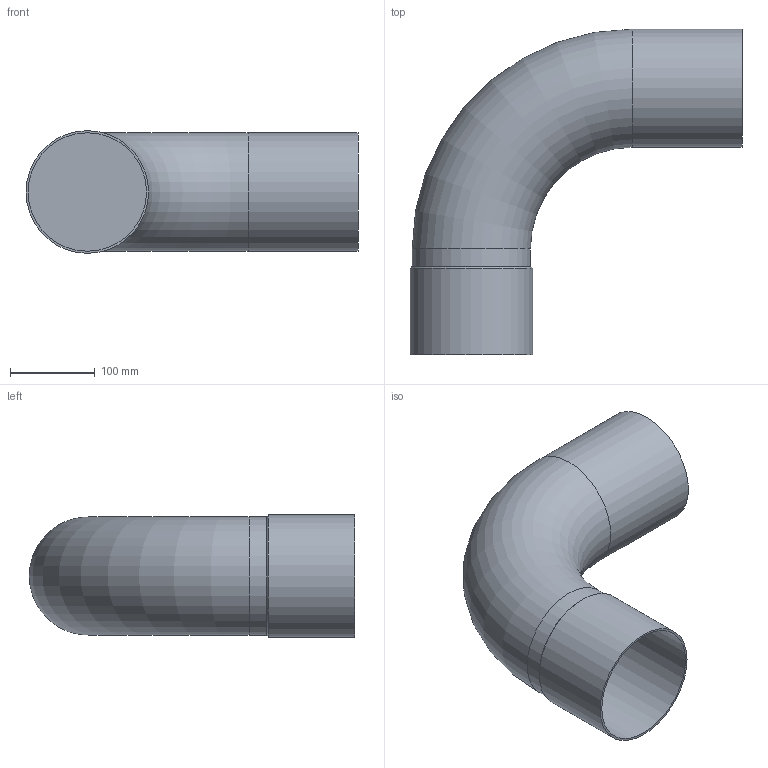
import cadquery as cq

pipe_diameter = 139.7
bend_radius = 190.0
outlet_length = 130.0
inlet_length = 125.0

socket_bore = 140.0
socket_wall = 2.5
socket_diameter = socket_bore + 2 * socket_wall
socket_length = 104.0
socket_chamfer = 2.0
socket_depth = 100.0
neck_length = inlet_length - socket_length

socket_mouth_y = -inlet_length


def along_y(diameter, start_y, length):
    """Cylinder on the inlet axis, growing toward +Y from start_y."""
    start_plane = cq.Workplane("XZ", origin=(0, start_y, 0))
    return start_plane.circle(diameter / 2).extrude(-length)


def make_bend():
    """Quarter torus turning the pipe from +Y to +X."""
    section = cq.Workplane("XZ").circle(pipe_diameter / 2)
    return section.revolve(90, (bend_radius, 0, 0), (bend_radius, -1, 0))


def make_outlet():
    """Straight leg leaving the bend along +X."""
    start_plane = cq.Workplane("YZ", origin=(bend_radius, bend_radius, 0))
    return start_plane.circle(pipe_diameter / 2).extrude(outlet_length)


def make_socket():
    """Socket body with its shoulder chamfered where it meets the pipe."""
    body = along_y(socket_diameter, socket_mouth_y, socket_length)
    return body.faces(">Y").chamfer(socket_chamfer)


def make_neck():
    """Bare pipe joining the socket shoulder to the bend."""
    return along_y(pipe_diameter, -neck_length, neck_length)


bore = along_y(socket_bore, socket_mouth_y, socket_depth)

result = make_bend().union(make_outlet()).union(make_neck()).union(make_socket()).cut(bore)